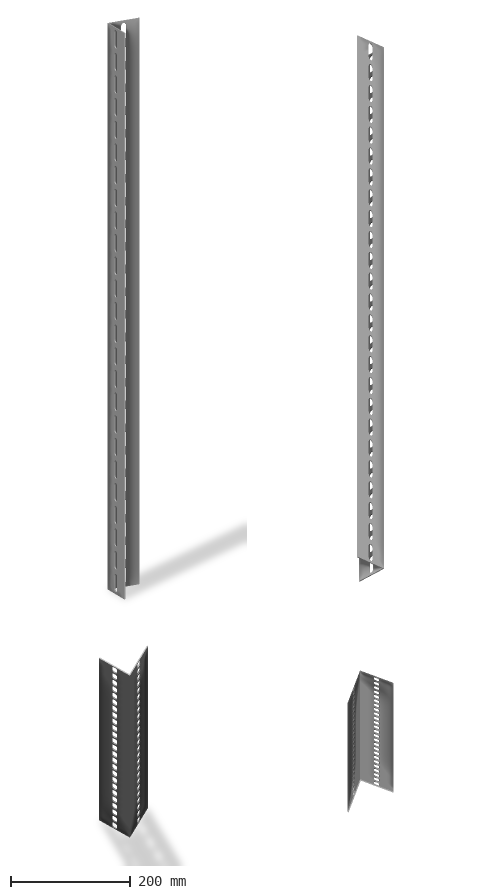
import cadquery as cq

length = 1000.0
leg = 60.0
thickness = 2.0

slot_pitch = 40.0
slot_length = 32.0
slot_width = 10.0
slot_count = int(length / slot_pitch)
slot_offset = leg / 2


def angle_bar():
    """L-shaped bar with one leg along +X and the other along +Y."""
    return (
        cq.Workplane("XY")
        .polyline([
            (0, 0),
            (leg, 0),
            (leg, thickness),
            (thickness, thickness),
            (thickness, leg),
            (0, leg),
        ])
        .close()
        .extrude(length)
    )


def slot_row(plane, cut_depth):
    """Cutters for one leg: slots parallel to Z, evenly spaced and centred on the length."""
    return (
        cq.Workplane(plane)
        .center(slot_offset, length / 2)
        .rarray(10, slot_pitch, 1, slot_count)
        .slot2D(slot_length, slot_width, 90)
        .extrude(cut_depth)
    )


result = (
    angle_bar()
    .cut(slot_row("XZ", -thickness))
    .cut(slot_row("YZ", thickness))
)